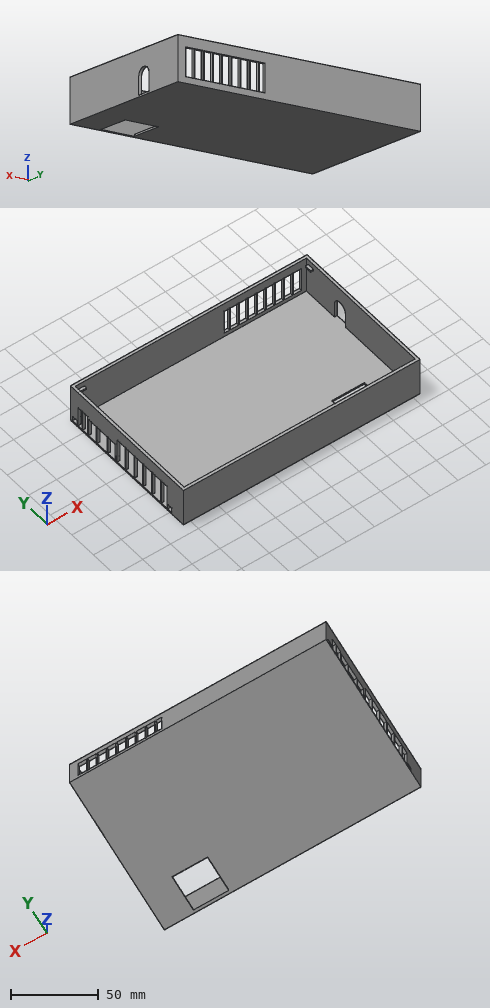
import cadquery as cq

length = 170.0
width = 105.0
height = 28.0
wall = 2.0
floor = 1.2
inner_x = length / 2 - wall
inner_y = width / 2 - wall

bar_width = 0.8

jack_wall = 0.3
gap_top = 4.6
audio_top = 15.8
jack_top = 14.1
card_top = 18.9
jack_end = 10.95
port_start = inner_y
port_end = -41.5
bar_centers = [45.75, 41.45, 36.0, 28.1, 18.1, 9.4, 1.45, -6.75, -14.95, -23.15, -31.6, -37.5]
opening_tops = [gap_top] + 2 * [audio_top] + 3 * [jack_top] + 6 * [card_top] + [gap_top]
jack_opening = 5

vent_start = 24.0
vent_end = 79.4
vent_bottom = 4.0
vent_top = 21.6
vent_bars = 8
vent_pitch = 6.45
vent_first_bar = 28.2

arch_y = 19.4
arch_width = 10.0
arch_top = 17.0

hatch_side = 23.4
hatch_x = 52.9

clip_length = 5.0
clip_depth = 2.0
clip_height = 1.2
clip_top = 24.2
clip_inset = 1.5


def block(x_range, y_range, z_range):
    """Box spanning the given ranges."""
    size = [end - start for start, end in (x_range, y_range, z_range)]
    corner = (x_range[0], y_range[0], z_range[0])
    return cq.Workplane("XY").box(*size, centered=False).translate(corner)


def tray():
    outside = block((-length / 2, length / 2), (-width / 2, width / 2), (0, height))
    return outside.cut(block((-inner_x, inner_x), (-inner_y, inner_y), (floor, height)))


def port_cutter():
    x_range = (-length / 2, -inner_x)
    starts = [port_start] + [y - bar_width / 2 for y in bar_centers]
    ends = [y + bar_width / 2 for y in bar_centers] + [port_end]
    cutter = block(x_range, (ends[jack_opening], jack_end - jack_wall), (floor, gap_top))
    ends[jack_opening] = jack_end
    for y_high, y_low, top in zip(starts, ends, opening_tops):
        cutter = cutter.union(block(x_range, (y_low, y_high), (floor, top)))
    return cutter


def vent_cutter():
    y_range = (inner_y, width / 2)
    cutter = block((vent_start, vent_end), y_range, (vent_bottom, vent_top))
    for i in range(vent_bars):
        x = vent_first_bar + i * vent_pitch
        cutter = cutter.cut(block((x - bar_width / 2, x + bar_width / 2), y_range, (0, height)))
    return cutter


def arch_cutter():
    radius = arch_width / 2
    return (
        cq.Workplane("YZ", origin=(inner_x, arch_y, 0))
        .moveTo(-radius, floor)
        .lineTo(radius, floor)
        .lineTo(radius, arch_top - radius)
        .threePointArc((0, arch_top), (-radius, arch_top - radius))
        .close()
        .extrude(wall)
    )


def hatch_cutter():
    x_range = (hatch_x - hatch_side / 2, hatch_x + hatch_side / 2)
    return block(x_range, (-inner_y, -inner_y + hatch_side), (0, floor))


def clips():
    z_range = (clip_top - clip_height, clip_top)
    near_x = inner_x - clip_inset
    far_x = near_x - clip_length
    front = (-inner_y, -inner_y + clip_depth)
    back = (inner_y - clip_depth, inner_y)
    near_y = inner_y - clip_inset
    return (
        block((-near_x, -far_x), back, z_range)
        .union(block((-near_x, -far_x), front, z_range))
        .union(block((far_x, near_x), front, z_range))
        .union(block((inner_x - clip_depth, inner_x), (near_y - clip_length, near_y), z_range))
    )


result = (
    tray()
    .cut(port_cutter())
    .cut(vent_cutter())
    .cut(arch_cutter())
    .cut(hatch_cutter())
    .union(clips())
)